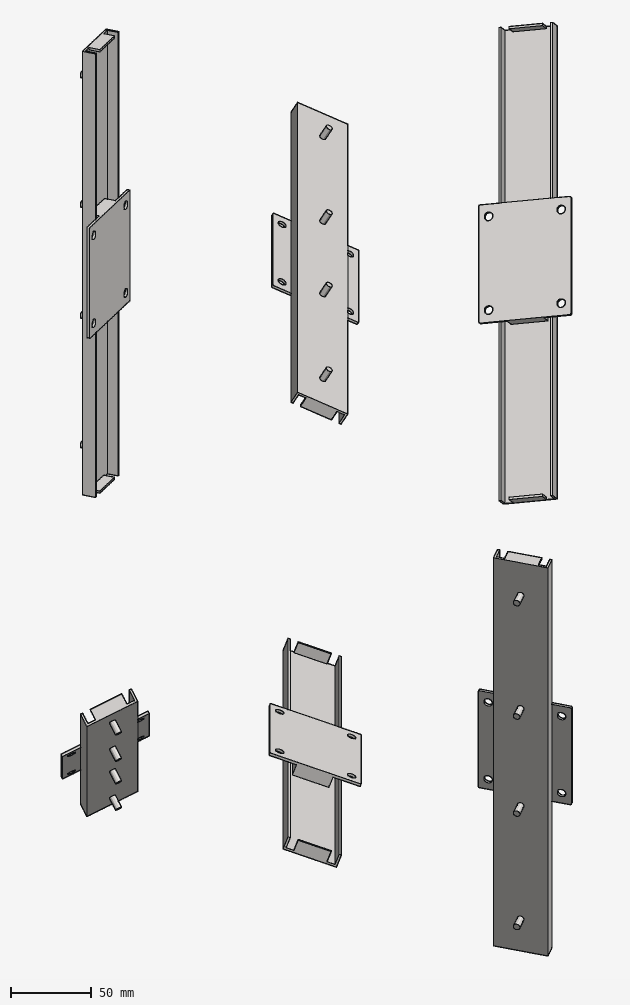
import cadquery as cq

rail_length = 305.0
rail_width = 35.5
rail_depth = 8.8
wall = 1.5
tab_width = 22.0

plate_thickness = 1.8
plate_width = 60.5
plate_height = 76.2
plate_center_z = 0.5
block_width = 24.0
plate_corner_radius = 1.0
mount_hole_diameter = 5.5
mount_hole_pitch_y = 47.5
mount_hole_pitch_z = 60.5

pin_diameter = 4.3
pin_length = 8.5
inner_pin_z = 38.0
outer_pin_z = 127.2
pin_heights = [-outer_pin_z, -inner_pin_z, inner_pin_z, outer_pin_z]

plate_front = rail_depth
channel_depth = rail_depth - wall


def make_box(x_start, x_size, y_size, z_size, z_center=0):
    """Box starting at x_start, centred on Y = 0 and on z_center."""
    return (
        cq.Workplane("XY")
        .box(x_size, y_size, z_size, centered=(False, True, True))
        .translate((x_start, 0, z_center))
    )


def make_rail():
    """Channel with a front web, two side flanges and a tab folded in at each end."""
    rail = make_box(0, rail_depth, rail_width, rail_length)
    rail = rail.cut(make_box(wall, channel_depth, rail_width - 2 * wall, rail_length))
    for end in (-1, 1):
        tab_center_z = end * (rail_length - wall) / 2
        rail = rail.union(make_box(wall, channel_depth, tab_width, wall, tab_center_z))
    return rail


def make_plate():
    """Drilled plate with the slide block on its front face."""
    plate = make_box(plate_front, plate_thickness, plate_width, plate_height, plate_center_z)
    plate = plate.edges("|X").fillet(plate_corner_radius)
    plate = (
        plate.faces(">X")
        .workplane(centerOption="CenterOfBoundBox")
        .rarray(mount_hole_pitch_y, mount_hole_pitch_z, 2, 2)
        .hole(mount_hole_diameter)
    )
    block = make_box(wall, channel_depth, block_width, plate_height, plate_center_z)
    return plate.union(block)


def make_pin(height):
    """Round pin standing on the front of the rail."""
    return (
        cq.Workplane("YZ", origin=(-pin_length, 0, height))
        .circle(pin_diameter / 2)
        .extrude(pin_length)
    )


rail = make_rail()
plate = make_plate()
pins = [make_pin(height).val() for height in pin_heights]

result = cq.Compound.makeCompound([rail.val(), plate.val(), *pins])